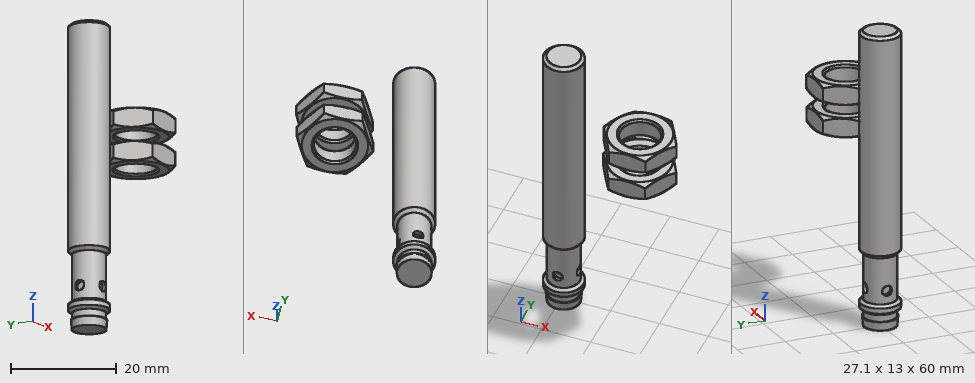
import cadquery as cq
import math

sensor_length = 60.0
barrel_radius = 8.0 / 2
barrel_bottom_z = 14.75
tip_chamfer_width = 0.7
tip_chamfer_height = 0.6
neck_radius = 6.5 / 2
shoulder_height = barrel_radius - neck_radius

collar_bottom_z = 3.2
collar_top_z = 5.35
collar_chamfer_height = 0.55

barb_top_z = 1.8
barb_radius = 3.45
barb_end_radius = 3.3

window_count = 4
window_radius = 2.0 / 2
window_z = 8.0
window_depth = 0.8

hexagon_sides = 6
nut_across_flats = 12.98
nut_height = 4.0
nut_bore_diameter = 8.0
nut_bore_chamfer = 0.4
nut_face_radius = 12.6 / 2
nut_chamfer_angle = 30.0
upper_nut_right_x = 23.08
upper_nut_bottom_z = 41.6
lower_nut_bottom_z = 35.02
lower_nut_shift_x = -0.08

nut_corner_radius = nut_across_flats / 2 / math.cos(math.pi / hexagon_sides)
upper_nut_x = upper_nut_right_x - nut_corner_radius
lower_nut_x = upper_nut_x + lower_nut_shift_x
nut_corner_drop = (nut_corner_radius - nut_face_radius) * math.tan(math.radians(nut_chamfer_angle))


def make_sensor():
    """Turned body with shallow blind windows spaced evenly around the neck."""
    profile = [
        (0, 0),
        (barb_end_radius, 0),
        (barb_radius, barb_top_z),
        (neck_radius, barb_top_z),
        (neck_radius, collar_bottom_z),
        (barrel_radius, collar_bottom_z + collar_chamfer_height),
        (barrel_radius, collar_top_z - collar_chamfer_height),
        (neck_radius, collar_top_z),
        (neck_radius, barrel_bottom_z),
        (barrel_radius, barrel_bottom_z + shoulder_height),
        (barrel_radius, sensor_length - tip_chamfer_height),
        (barrel_radius - tip_chamfer_width, sensor_length),
        (0, sensor_length),
    ]
    body = cq.Workplane("XZ").polyline(profile).close().revolve(360, (0, 0, 0), (0, 1, 0))

    window = (
        cq.Workplane("YZ", origin=(neck_radius - window_depth, 0, window_z))
        .circle(window_radius)
        .extrude(barrel_radius)
    )
    for index in range(window_count):
        angle = index * 360 / window_count
        body = body.cut(window.rotate((0, 0, 0), (0, 0, 1), angle))
    return body


def make_nut(axis_x, bottom_z):
    """Hexagonal nut with conical corner chamfers and a chamfered bore."""
    hexagon = cq.Workplane("XY").polygon(hexagon_sides, 2 * nut_corner_radius).extrude(nut_height)
    envelope_profile = [
        (0, 0),
        (nut_face_radius, 0),
        (nut_corner_radius, nut_corner_drop),
        (nut_corner_radius, nut_height - nut_corner_drop),
        (nut_face_radius, nut_height),
        (0, nut_height),
    ]
    envelope = cq.Workplane("XZ").polyline(envelope_profile).close().revolve(360, (0, 0, 0), (0, 1, 0))
    nut = hexagon.intersect(envelope)

    nut = nut.faces(">Z").workplane(origin=(0, 0, 0)).hole(nut_bore_diameter)
    bore_rims = cq.selectors.RadiusNthSelector(0)
    nut = nut.edges("%CIRCLE").edges(bore_rims).chamfer(nut_bore_chamfer)
    return nut.translate((axis_x, 0, bottom_z))


sensor = make_sensor()
nut_places = [(upper_nut_x, upper_nut_bottom_z), (lower_nut_x, lower_nut_bottom_z)]
nuts = [make_nut(axis_x, bottom_z) for axis_x, bottom_z in nut_places]

result = cq.Compound.makeCompound([sensor.val(), *[nut.val() for nut in nuts]])